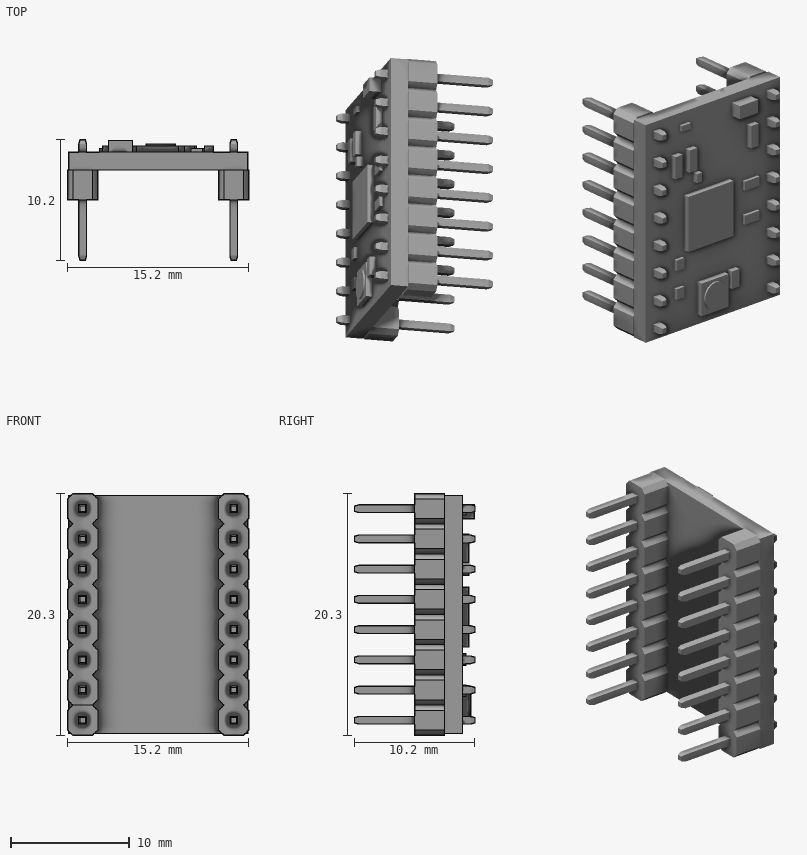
import cadquery as cq


total_height = 20.32
total_depth = 10.15

pin_count = 8
pitch = total_height / pin_count
row_x = 5 * pitch / 2
cell_chamfer = 0.45
header_depth = 2.52

pin_width = 0.67
pin_end_width = 0.45
pin_tip = 0.39
pin_rise = 1.05
pin_tail = 5.08

board_width = 15.08
board_height = 20.02
board_thickness = total_depth - header_depth - pin_rise - pin_tail

low_height = 0.3
mid_height = 0.53
capacitor_height = 1.0

capacitor_width = 2.05
capacitor_length = 1.2
capacitor_x = -3.17
capacitor_z = 8.64

driver_size = 5.05
driver_x = 0.7
driver_z = -0.22

trimmer_size = 3.0
trimmer_x = 0.22
trimmer_z = -7.6
rotor_diameter = 2.5
rotor_height = 0.16

chip_width = 0.83
slim_chip = 0.75
long_chip = 2.05
medium_chip = 1.6
short_chip = 0.98
narrow_chip = 0.53

mid_chips = [
    (-4.25, 5.73, chip_width, long_chip),
    (2.65, 5.5, chip_width, long_chip),
    (4.27, 5.36, slim_chip, long_chip),
    (1.95, 3.7, narrow_chip, chip_width),
    (-2.1, -6.79, chip_width, medium_chip),
]
low_chips = [
    (-4.15, 1.3, medium_chip, chip_width),
    (-4.15, -1.83, medium_chip, chip_width),
    (3.23, capacitor_z, short_chip, narrow_chip),
    (3.9, -3.78, chip_width, short_chip),
    (3.9, -6.42, chip_width, short_chip),
]


def block(x, z, size_x, size_z, y_from, y_to):
    """Box centred on (x, z) that spans y_from to y_to."""
    depth = y_to - y_from
    return cq.Workplane("XY").box(size_x, depth, size_z).translate((x, y_from + depth / 2, z))


def standing_block(x, z, size_x, size_z, height):
    """Box that stands on the component side of the board."""
    return block(x, z, size_x, size_z, board_thickness, board_thickness + height)


def pin_z(index):
    """Height of a pin, counted from the bottom."""
    return (index - (pin_count - 1) / 2) * pitch


def pin_taper(x, z, y_shoulder, y_end):
    """Pin end that narrows from the shoulder to a smaller square."""
    return (
        cq.Workplane("XZ", origin=(x, y_shoulder, z))
        .rect(pin_width, pin_width)
        .workplane(offset=y_shoulder - y_end)
        .rect(pin_end_width, pin_end_width)
        .loft(ruled=True)
    )


def pin(x, z):
    """Square pin with both ends tapered."""
    y_low = -header_depth - pin_tail
    y_high = board_thickness + pin_rise
    shaft = block(x, z, pin_width, pin_width, y_low + pin_tip, y_high - pin_tip)
    tail_tip = pin_taper(x, z, y_low + pin_tip, y_low)
    top_tip = pin_taper(x, z, y_high - pin_tip, y_high)
    return shaft.union(tail_tip).union(top_tip)


def header(x, indices):
    """Run of eight-sided header cells, each in one piece with its pin."""
    run = cq.Workplane("XY")
    for index in indices:
        z = pin_z(index)
        cell = block(x, z, pitch, pitch, -header_depth, 0).edges("|Y").chamfer(cell_chamfer)
        run = run.union(cell).union(pin(x, z))
    return run.clean()


def make_board():
    """Board with its small chip parts and a square hole for every pin."""
    body = block(0, 0, board_width, board_height, 0, board_thickness)
    for x, z, size_x, size_z in mid_chips:
        body = body.union(standing_block(x, z, size_x, size_z, mid_height))
    for x, z, size_x, size_z in low_chips:
        body = body.union(standing_block(x, z, size_x, size_z, low_height))
    for x in (-row_x, row_x):
        for index in range(pin_count):
            body = body.cut(block(x, pin_z(index), pin_width, pin_width, 0, board_thickness))
    return body


def make_rotor():
    """Round disc on top of the trimmer."""
    y_base = board_thickness + mid_height
    disc = cq.Workplane("XZ", origin=(trimmer_x, y_base, trimmer_z))
    return disc.circle(rotor_diameter / 2).extrude(-rotor_height)


board = make_board()
left_header = header(-row_x, range(1, pin_count))
left_end_cell = header(-row_x, [0])
right_header = header(row_x, range(pin_count))
capacitor = standing_block(capacitor_x, capacitor_z, capacitor_width, capacitor_length, capacitor_height)
driver = standing_block(driver_x, driver_z, driver_size, driver_size, mid_height)
trimmer = standing_block(trimmer_x, trimmer_z, trimmer_size, trimmer_size, mid_height)
rotor = make_rotor()

result = cq.Compound.makeCompound([
    board.val(),
    left_header.val(),
    left_end_cell.val(),
    right_header.val(),
    capacitor.val(),
    driver.val(),
    trimmer.val(),
    rotor.val(),
])